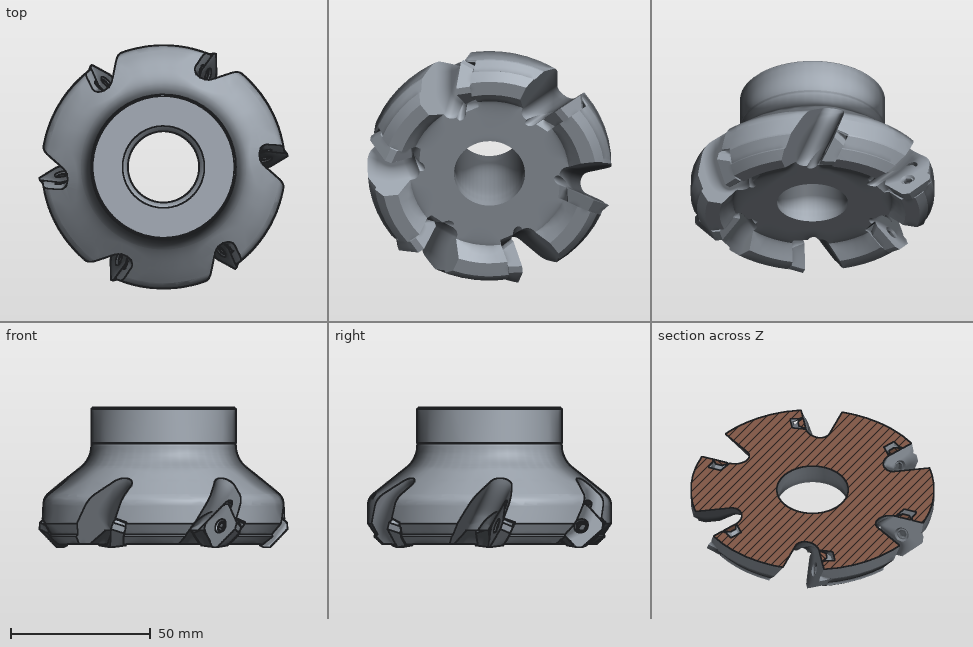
import cadquery as cq
import math


TOTAL_HEIGHT = 50.0
BODY_BOTTOM_Z = 1.15

BORE_RADIUS = 25.4 / 2
BORE_CHAMFER = 1.95

HUB_RADIUS = 51.9 / 2
HUB_CHAMFER = 0.6
HUB_BOTTOM_Z = 37.4
GROOVE_RADIUS = 51.4 / 2
GROOVE_Z = 36.95
NECK_RADIUS = HUB_RADIUS
NECK_TOP_Z = 36.3

CONE_ANGLE = math.radians(51.3)
NECK_FILLET = 9.8
SHOULDER_ROUND = 5.2
RIM_RADIUS = 87.1 / 2

RIM_BOTTOM_Z = 9.0
RIM_EDGE_RADIUS = 43.4
RIM_EDGE_Z = 8.4
LEDGE_INNER_RADIUS = 40.9
LEDGE_TOP_Z = 4.7
LEDGE_OUTER_RADIUS = 41.3
LEDGE_BOTTOM_Z = 3.9
BOTTOM_RADIUS = 38.4

RECESS_MOUTH_RADIUS = 33.2
RECESS_CEILING_RADIUS = 28.4
RECESS_CEILING_Z = 6.0

INSERT_COUNT = 6
FIRST_INSERT_ANGLE = 4.0
INSERT_CENTER_RADIUS = 36.4
RADIAL_RAKE = 8.5
AXIAL_RAKE = 20.0
INSERT_SIDE = 13.3
INSERT_CORNER_FLAT = 2.5
INSERT_THICKNESS = 4.4
INSERT_RELIEF = math.radians(20)
CORNER_DISTANCE = (INSERT_SIDE * math.sqrt(2) - INSERT_CORNER_FLAT) / 2
INSERT_CENTER_Z = CORNER_DISTANCE * math.cos(math.radians(AXIAL_RAKE))

SCREW_RECESS_DIAMETER = 5.2
SCREW_HEAD_DIAMETER = 4.1
SCREW_HEAD_DEPTH = 0.7
SOCKET_SIDES = 6
SOCKET_DIAMETER = 3.5
SOCKET_DEPTH = 1.8

FLUTE_RADIUS = 3.9
FLUTE_WALL_ANGLE = 30.0
FLUTE_DIRECTION = 60.0
FLUTE_OFFSET = 5.9
SEAT_DIRECTION = 45.0
SEAT_OFFSET = INSERT_SIDE / 2 + 0.1
SEAT_ROOT_RADIUS = 1.6
SEAT_WALL_ANGLE = 0.0
FLUTE_REACH = 35.5
SEAT_RELIEF_RADIUS = 1.7
SEAT_RELIEF_SPREAD = 4.7
SEAT_INNER_OPENING = 4.4


def insert_plane(angle):
    """Plane of an insert's face: x is its outward diagonal, y its upward diagonal."""
    outward = math.radians(angle + RADIAL_RAKE)
    lean = math.radians(AXIAL_RAKE)
    center = (
        INSERT_CENTER_RADIUS * math.cos(math.radians(angle)),
        INSERT_CENTER_RADIUS * math.sin(math.radians(angle)),
        INSERT_CENTER_Z,
    )
    x_dir = (math.cos(outward), math.sin(outward), 0)
    normal = (
        math.sin(outward) * math.cos(lean),
        -math.cos(outward) * math.cos(lean),
        math.sin(lean),
    )
    return cq.Plane(origin=center, xDir=x_dir, normal=normal)


def turned_body():
    """The revolved blank: hub, neck fillet, cone, rounded shoulder, rim and lower bevels."""
    turn_sine = math.sin(CONE_ANGLE)
    turn_cosine = math.cos(CONE_ANGLE)
    half_sine = math.sin(CONE_ANGLE / 2)
    half_cosine = math.cos(CONE_ANGLE / 2)

    neck_center_r = NECK_RADIUS + NECK_FILLET
    neck_middle = (neck_center_r - NECK_FILLET * half_cosine, NECK_TOP_Z - NECK_FILLET * half_sine)
    neck_end = (neck_center_r - NECK_FILLET * turn_cosine, NECK_TOP_Z - NECK_FILLET * turn_sine)

    shoulder_center_r = RIM_RADIUS - SHOULDER_ROUND
    shoulder_start_r = shoulder_center_r + SHOULDER_ROUND * turn_cosine
    shoulder_start_z = neck_end[1] - (shoulder_start_r - neck_end[0]) / math.tan(CONE_ANGLE)
    shoulder_center_z = shoulder_start_z - SHOULDER_ROUND * turn_sine
    shoulder_middle = (
        shoulder_center_r + SHOULDER_ROUND * half_cosine,
        shoulder_center_z + SHOULDER_ROUND * half_sine,
    )

    return (
        cq.Workplane("XZ")
        .moveTo(BORE_RADIUS, RECESS_CEILING_Z)
        .lineTo(BORE_RADIUS, TOTAL_HEIGHT - BORE_CHAMFER)
        .lineTo(BORE_RADIUS + BORE_CHAMFER, TOTAL_HEIGHT)
        .lineTo(HUB_RADIUS - HUB_CHAMFER, TOTAL_HEIGHT)
        .lineTo(HUB_RADIUS, TOTAL_HEIGHT - HUB_CHAMFER)
        .lineTo(HUB_RADIUS, HUB_BOTTOM_Z)
        .lineTo(GROOVE_RADIUS, GROOVE_Z)
        .lineTo(NECK_RADIUS, NECK_TOP_Z)
        .threePointArc(neck_middle, neck_end)
        .lineTo(shoulder_start_r, shoulder_start_z)
        .threePointArc(shoulder_middle, (RIM_RADIUS, shoulder_center_z))
        .lineTo(RIM_RADIUS, RIM_BOTTOM_Z)
        .lineTo(RIM_EDGE_RADIUS, RIM_EDGE_Z)
        .lineTo(LEDGE_INNER_RADIUS, LEDGE_TOP_Z)
        .lineTo(LEDGE_OUTER_RADIUS, LEDGE_BOTTOM_Z)
        .lineTo(BOTTOM_RADIUS, BODY_BOTTOM_Z)
        .lineTo(RECESS_MOUTH_RADIUS, BODY_BOTTOM_Z)
        .lineTo(RECESS_CEILING_RADIUS, RECESS_CEILING_Z)
        .close()
        .revolve(360, (0, 0, 0), (0, 1, 0))
    )


def groove(face, direction, offset, radius, wall_angle):
    """A groove over the insert face with a round root, its wall `wall_angle` degrees from its floor."""
    turn = math.radians(direction)
    axis = face.xDir * math.cos(turn) + face.yDir * math.sin(turn)
    section = cq.Plane(face.origin - axis * FLUTE_REACH, face.zDir.cross(axis), axis)
    wall = math.radians(wall_angle)
    root_middle = (
        offset + radius * math.cos(wall / 2),
        radius * (1 - math.sin(wall / 2)),
    )
    wall_start = (
        offset + radius * math.sin(wall),
        radius * (1 + math.cos(wall)),
    )
    wall_end = (
        wall_start[0] - FLUTE_REACH * math.cos(wall),
        wall_start[1] + FLUTE_REACH * math.sin(wall),
    )
    return (
        cq.Workplane(section)
        .moveTo(wall_end[0], 0)
        .lineTo(offset, 0)
        .threePointArc(root_middle, wall_start)
        .lineTo(*wall_end)
        .close()
        .extrude(2 * FLUTE_REACH)
    )


def diamond_wire(plane, side, corner_flat):
    """Outline of a square standing on its corner, with the four corners cut off flat."""
    flat = corner_flat / 2
    tip = side / math.sqrt(2) - flat
    points = [
        (tip, -flat), (tip, flat), (flat, tip), (-flat, tip),
        (-tip, flat), (-tip, -flat), (-flat, -tip), (flat, -tip),
    ]
    return cq.Wire.makePolygon([plane.toWorldCoords(point) for point in points], close=True)


def insert_plate(face):
    """The tapered insert without its screw recess."""
    back = cq.Plane(face.origin - face.zDir * INSERT_THICKNESS, face.xDir, face.zDir)
    back_side = INSERT_SIDE - 2 * INSERT_THICKNESS * math.tan(INSERT_RELIEF)
    return cq.Workplane(cq.Solid.makeLoft(
        [
            diamond_wire(face, INSERT_SIDE, INSERT_CORNER_FLAT),
            diamond_wire(back, back_side, INSERT_CORNER_FLAT),
        ],
        True,
    ))


def seat(face):
    """Insert pocket, open towards the recess, with a round relief at both ends of its outer wall."""
    half_side = INSERT_SIDE / 2
    pocket = (
        cq.Workplane(face)
        .transformed(rotate=(0, 0, SEAT_DIRECTION))
        .center(-SEAT_INNER_OPENING / 2, 0)
        .rect(INSERT_SIDE + SEAT_INNER_OPENING, INSERT_SIDE)
        .extrude(-INSERT_THICKNESS)
    )
    reliefs = (
        cq.Workplane(face)
        .transformed(rotate=(0, 0, SEAT_DIRECTION))
        .pushPoints([(half_side, SEAT_RELIEF_SPREAD), (half_side, -SEAT_RELIEF_SPREAD)])
        .circle(SEAT_RELIEF_RADIUS)
        .extrude(-INSERT_THICKNESS)
    )
    return pocket.union(reliefs)


def make_insert(face):
    """A square insert with the conical screw recess and the screw's hexagon socket."""
    screw_recess = cq.Workplane(cq.Solid.makeCone(
        SCREW_RECESS_DIAMETER / 2,
        SCREW_HEAD_DIAMETER / 2,
        SCREW_HEAD_DEPTH,
        face.origin,
        face.zDir * -1,
    ))
    socket = (
        cq.Workplane(face)
        .polygon(SOCKET_SIDES, SOCKET_DIAMETER)
        .extrude(-SCREW_HEAD_DEPTH - SOCKET_DEPTH)
    )
    return insert_plate(face).cut(screw_recess).cut(socket)


def make_body(faces):
    """The turned body with a chip flute and an insert seat for every insert."""
    body = turned_body()
    for face in faces:
        body = body.cut(groove(face, FLUTE_DIRECTION, FLUTE_OFFSET, FLUTE_RADIUS, FLUTE_WALL_ANGLE))
        body = body.cut(groove(face, SEAT_DIRECTION, SEAT_OFFSET, SEAT_ROOT_RADIUS, SEAT_WALL_ANGLE))
        body = body.cut(seat(face))
    return body


insert_faces = [
    insert_plane(FIRST_INSERT_ANGLE + number * 360 / INSERT_COUNT)
    for number in range(INSERT_COUNT)
]
cutter_body = make_body(insert_faces)
inserts = [make_insert(face) for face in insert_faces]

result = cq.Compound.makeCompound([cutter_body.val(), *(insert.val() for insert in inserts)])